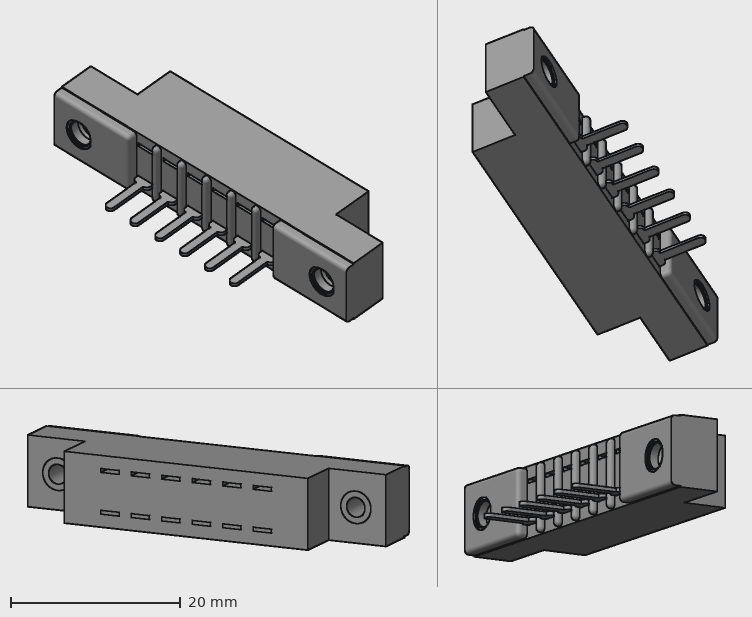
import cadquery as cq

LENGTH = 46.8
HEIGHT = 8.7
TOTAL_DEPTH = 17.4

BODY_DEPTH = 10.7
NOSE_LENGTH = 31.8
NOSE_DEPTH = 5.65

PAD_HEIGHT = 8.4
PAD_RISE = 1.3
PAD_INNER_X = 11.35
EDGE_RADIUS = 0.55
RIB_WIDTH = 1.08
RIB_RISE = 0.75

CONTACT_COUNT = 6
PITCH = 4.0
ROW_OFFSET = 2.55
SLOT_WIDTH = 2.4
SLOT_HEIGHT = 0.45

SHOULDER_REACH = 1.05
TAIL_WIDTH = 1.15

INSERT_X = 19.45
INSERT_DIAMETER = 3.95
INSERT_RECESS = 0.25
BORE_DIAMETER = 2.4
COUNTERBORE_DIAMETER = 3.1
MOUTH_DIAMETER = 3.35
COUNTERBORE_DEPTH = 1.3
TAPER_LENGTH = 0.37

EAR_DEPTH = BODY_DEPTH - NOSE_DEPTH
TAIL_REACH = TOTAL_DEPTH - BODY_DEPTH
SIDES = (-1, 1)
CONTACT_XS = [(i - (CONTACT_COUNT - 1) / 2) * PITCH for i in range(CONTACT_COUNT)]
RIB_XS = [(left + right) / 2 for left, right in zip(CONTACT_XS, CONTACT_XS[1:])]


def block(x_min, x_max, y_min, y_max, height):
    """Box between the given X and Y limits, centred on Z = 0."""
    return (
        cq.Workplane("XY")
        .box(x_max - x_min, y_max - y_min, height, centered=(False, False, True))
        .translate((x_min, y_min, 0))
    )


def cylinder_along_y(diameter, x, y_min, y_max):
    """Cylinder parallel to Y at the given X, centred on Z = 0."""
    axis_start = cq.Vector(x, y_min, 0)
    axis_direction = cq.Vector(0, 1, 0)
    return cq.Workplane(
        cq.Solid.makeCylinder(diameter / 2, y_max - y_min, axis_start, axis_direction)
    )


def make_pad(side):
    """Raised pad on one ear, its root buried in the ear, with rounded exposed edges."""
    pad = block(PAD_INNER_X, LENGTH / 2, -PAD_RISE, EAR_DEPTH / 2, PAD_HEIGHT)
    pad = pad.edges("<X and |Y").fillet(EDGE_RADIUS)
    pad = pad.faces("<Y").edges("not >X").fillet(EDGE_RADIUS)
    return pad if side > 0 else pad.mirror("YZ")


def make_rib(x):
    """Upright rib with a full-round front and domed ends."""
    radius = RIB_WIDTH / 2
    straight_height = PAD_HEIGHT - RIB_WIDTH
    dome_y = radius - RIB_RISE
    root = (
        cq.Workplane("XZ", origin=(0, EAR_DEPTH / 2, 0))
        .slot2D(PAD_HEIGHT, RIB_WIDTH, 90)
        .extrude(EAR_DEPTH / 2 - dome_y)
    )
    front = cq.Workplane("XY", origin=(0, dome_y, 0)).cylinder(straight_height, radius)
    rib = root.union(front)
    for end in SIDES:
        dome = cq.Workplane("XY", origin=(0, dome_y, end * straight_height / 2)).sphere(radius)
        rib = rib.union(dome)
    return rib.translate((x, 0, 0))


def make_slot(x, z):
    """Rectangular cutter running through the full depth of the housing."""
    cutter = block(x - SLOT_WIDTH / 2, x + SLOT_WIDTH / 2, 0, BODY_DEPTH, SLOT_HEIGHT)
    return cutter.translate((0, 0, z))


def make_housing():
    """Insulating body with ears, pads, ribs, contact slots and insert holes."""
    housing = block(-LENGTH / 2, LENGTH / 2, 0, EAR_DEPTH, HEIGHT)
    housing = housing.union(block(-NOSE_LENGTH / 2, NOSE_LENGTH / 2, 0, BODY_DEPTH, HEIGHT))
    for side in SIDES:
        housing = housing.union(make_pad(side))
        housing = housing.cut(cylinder_along_y(INSERT_DIAMETER, side * INSERT_X, -PAD_RISE, EAR_DEPTH))
    for x in RIB_XS:
        housing = housing.union(make_rib(x))
    for x in CONTACT_XS:
        for row in SIDES:
            housing = housing.cut(make_slot(x, row * ROW_OFFSET))
    return housing


def make_contact(x):
    """Flat contact filling a lower slot, with rounded shoulders and a round-tipped tail."""
    half_slot = SLOT_WIDTH / 2
    half_tail = TAIL_WIDTH / 2
    shoulder_radius = half_slot - half_tail
    blade = (
        block(-half_slot, half_slot, -SHOULDER_REACH, BODY_DEPTH, SLOT_HEIGHT)
        .edges("|Z and <Y")
        .fillet(shoulder_radius)
    )
    tail_length = TAIL_REACH - half_tail
    tail = block(-half_tail, half_tail, -tail_length, 0, SLOT_HEIGHT)
    tip = cq.Workplane("XY", origin=(0, -tail_length, 0)).cylinder(SLOT_HEIGHT, half_tail)
    return blade.union(tail).union(tip).translate((x, 0, -ROW_OFFSET))


def make_insert(x):
    """Bushing lining an ear hole, with a chamfered counterbore tapering to the bore."""
    outer_radius = INSERT_DIAMETER / 2
    bore_radius = BORE_DIAMETER / 2
    counterbore_radius = COUNTERBORE_DIAMETER / 2
    mouth_radius = MOUTH_DIAMETER / 2
    front_y = INSERT_RECESS - PAD_RISE
    chamfer_end = front_y + mouth_radius - counterbore_radius
    taper_start = front_y + COUNTERBORE_DEPTH
    half_section = (
        cq.Workplane("XY")
        .moveTo(outer_radius, front_y)
        .lineTo(outer_radius, EAR_DEPTH)
        .lineTo(bore_radius, EAR_DEPTH)
        .lineTo(bore_radius, taper_start + TAPER_LENGTH)
        .lineTo(counterbore_radius, taper_start)
        .lineTo(counterbore_radius, chamfer_end)
        .lineTo(mouth_radius, front_y)
        .close()
    )
    bushing = half_section.revolve(360, (0, 0, 0), (0, 1, 0))
    return bushing.translate((x, 0, 0))


housing = make_housing()
contacts = [make_contact(x) for x in CONTACT_XS]
inserts = [make_insert(side * INSERT_X) for side in SIDES]

result = cq.Compound.makeCompound(
    [housing.val()] + [contact.val() for contact in contacts] + [insert.val() for insert in inserts]
)